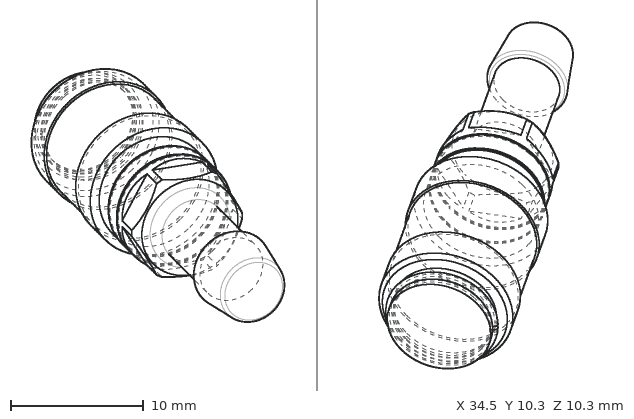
import cadquery as cq
import math

TOTAL_LENGTH = 34.55

NOSE_DIAMETER = 8.0
RING_WIRE_DIAMETER = 0.6
RING_CENTRE_DIAMETER = 8.1
RING_CENTRE_X = 1.0
RING_GAP = 0.3
GROOVE_WIDTH = 0.7
GROOVE_DIAMETER = RING_CENTRE_DIAMETER - RING_WIRE_DIAMETER

SLEEVE_DIAMETER = 10.35
SLEEVE_START_X = 2.0
SLEEVE_END_X = 14.35
SLEEVE_CHAMFER = 0.35
BAND_DIAMETER = 10.0
BAND_START_X = 4.98
BAND_END_X = 11.35

NECK_DIAMETER = 8.9
BODY_DIAMETER = 9.0
BODY_GROOVE_DIAMETER = 8.78
BODY_GROOVE_WIDTH = 0.15
BODY_GROOVE_STARTS = (16.17, 17.93)

HEX_ACROSS_FLATS = 8.0
HEX_START_X = 19.07
HEX_END_X = 21.63
HEX_RAMP_LENGTH = 0.25
HEX_END_CHAMFER = 0.6
HEX_SIDES = 6

STEM_DIAMETER = 5.1
STEM_FILLET = 0.7
BARB_START_X = 30.02
BARB_DIAMETER = 6.3
BARB_END_DIAMETER = 5.18
BARB_EDGE_ROUND = 0.2
BARB_END_ROUND = 0.28


def cylinder(diameter, start_x, end_x):
    """Solid cylinder about the X axis."""
    return cq.Workplane("YZ", origin=(start_x, 0, 0)).circle(diameter / 2).extrude(end_x - start_x)


def cut_band(part, floor_diameter, start_x, end_x):
    """Turn the part down to floor_diameter between start_x and end_x."""
    floor = cylinder(floor_diameter, start_x, end_x)
    waste = cylinder(SLEEVE_DIAMETER, start_x, end_x).cut(floor)
    return part.cut(waste)


def make_sleeve():
    sleeve = cylinder(SLEEVE_DIAMETER, SLEEVE_START_X, SLEEVE_END_X)
    sleeve = sleeve.faces("<X").edges().chamfer(SLEEVE_CHAMFER)
    return cut_band(sleeve, BAND_DIAMETER, BAND_START_X, BAND_END_X)


def make_hex_flat_cutter():
    """Block above the +Z flat; its front end ramps up to the body surface."""
    flat_z = HEX_ACROSS_FLATS / 2
    body_z = BODY_DIAMETER / 2
    return (
        cq.Workplane("XZ")
        .moveTo(HEX_START_X, flat_z)
        .lineTo(HEX_END_X, flat_z)
        .lineTo(HEX_END_X, body_z)
        .lineTo(HEX_START_X - HEX_RAMP_LENGTH, body_z)
        .close()
        .extrude(BODY_DIAMETER / 2, both=True)
    )


def make_body():
    body = cylinder(BODY_DIAMETER, BODY_GROOVE_STARTS[0], HEX_END_X)
    body = body.faces(">X").edges().chamfer(HEX_END_CHAMFER)
    for start_x in BODY_GROOVE_STARTS:
        body = cut_band(body, BODY_GROOVE_DIAMETER, start_x, start_x + BODY_GROOVE_WIDTH)
    flat_cutter = make_hex_flat_cutter()
    for side in range(HEX_SIDES):
        angle = side * 360 / HEX_SIDES
        body = body.cut(flat_cutter.rotate((0, 0, 0), (1, 0, 0), angle))
    return body


def make_stem():
    """Stem that flares into the hexagon's end face."""
    stem_radius = STEM_DIAMETER / 2
    return (
        cq.Workplane("XY")
        .moveTo(HEX_END_X, 0)
        .lineTo(HEX_END_X, stem_radius + STEM_FILLET)
        .radiusArc((HEX_END_X + STEM_FILLET, stem_radius), -STEM_FILLET)
        .lineTo(BARB_START_X, stem_radius)
        .lineTo(BARB_START_X, 0)
        .close()
        .revolve(360, (0, 0, 0), (1, 0, 0))
    )


def make_barb():
    barb = (
        cq.Workplane("XY")
        .moveTo(BARB_START_X, 0)
        .lineTo(BARB_START_X, BARB_DIAMETER / 2)
        .lineTo(TOTAL_LENGTH, BARB_END_DIAMETER / 2)
        .lineTo(TOTAL_LENGTH, 0)
        .close()
        .revolve(360, (0, 0, 0), (1, 0, 0))
    )
    barb = barb.faces("<X").edges().fillet(BARB_EDGE_ROUND)
    return barb.faces(">X").edges().fillet(BARB_END_ROUND)


def make_nose():
    groove_start = RING_CENTRE_X - GROOVE_WIDTH / 2
    nose = cylinder(NOSE_DIAMETER, 0, SLEEVE_START_X)
    return cut_band(nose, GROOVE_DIAMETER, groove_start, groove_start + GROOVE_WIDTH)


def make_coupling():
    coupling = cylinder(NECK_DIAMETER, SLEEVE_END_X, BODY_GROOVE_STARTS[0])
    for section in (make_nose(), make_sleeve(), make_body(), make_stem(), make_barb()):
        coupling = coupling.union(section)
    return coupling


def make_snap_ring():
    """Round-wire ring in the nose groove, split by a gap on the -Y side."""
    gap_angle = math.degrees(2 * math.asin(RING_GAP / RING_CENTRE_DIAMETER))
    return (
        cq.Workplane("XY")
        .center(RING_CENTRE_X, -RING_CENTRE_DIAMETER / 2)
        .circle(RING_WIRE_DIAMETER / 2)
        .revolve(360 - gap_angle, (0, RING_CENTRE_DIAMETER / 2, 0), (1, RING_CENTRE_DIAMETER / 2, 0))
        .rotate((0, 0, 0), (1, 0, 0), gap_angle / 2)
    )


coupling = make_coupling()
snap_ring = make_snap_ring()
result = cq.Compound.makeCompound([coupling.val(), snap_ring.val()])